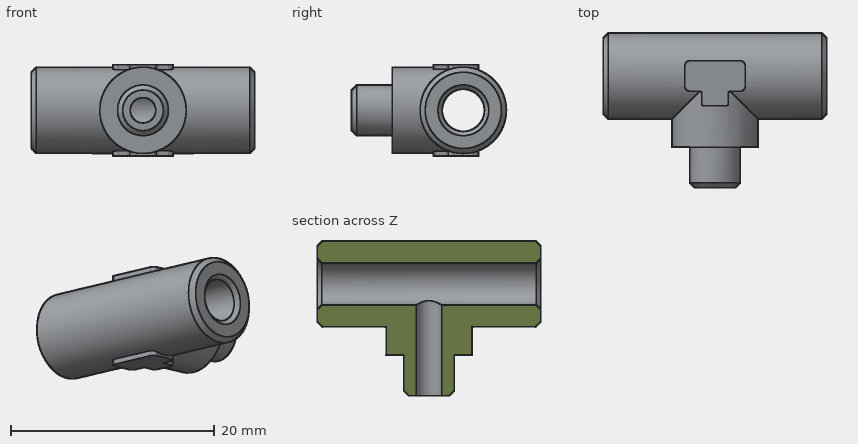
import cadquery as cq

run_length = 22.0
body_diameter = 8.5
run_bore_diameter = 4.13
thread_diameter = 5.0
end_chamfer = 0.5

branch_reach = 7.0
spigot_reach = 11.0
spigot_diameter = 5.0
spigot_bore_diameter = 2.5

pad_span = 9.0
pad_bar_width = 5.95
pad_bar_depth = 3.0
pad_stem_width = 2.6
pad_stem_reach = 2.95
pad_outer_radius = 0.5
pad_small_radius = 0.2


def cylinder_along_x(diameter):
    """Cylinder on the X axis over the full run length."""
    start = (-run_length / 2, 0, 0)
    return cq.Workplane("YZ", origin=start).circle(diameter / 2).extrude(run_length)


def cylinder_toward_front(diameter, reach):
    """Cylinder from the run axis toward -Y."""
    return cq.Workplane("XZ").circle(diameter / 2).extrude(reach)


def make_run():
    return cylinder_along_x(body_diameter).faces("<X or >X").chamfer(end_chamfer)


def make_spigot():
    return cylinder_toward_front(spigot_diameter, spigot_reach).faces("<Y").chamfer(end_chamfer)


def make_pads():
    """T-shaped prism through the body; only its two ends stand proud."""
    bar = cq.Workplane("XY").box(pad_bar_width, pad_bar_depth, pad_span)
    stem = (
        cq.Workplane("XY")
        .center(0, -pad_stem_reach / 2)
        .box(pad_stem_width, pad_stem_reach, pad_span)
    )
    tee = bar.union(stem)
    tee = tee.edges("|Z and (not (<X or >X))").fillet(pad_small_radius)
    return tee.edges("|Z and (<X or >X)").fillet(pad_outer_radius)


def make_run_bore():
    """Through bore with a countersink at each end, out to the thread diameter."""
    bore = cylinder_along_x(run_bore_diameter)
    sink_depth = (thread_diameter - run_bore_diameter) / 2
    for end in (-1, 1):
        sink = (
            cq.Workplane("YZ", origin=(end * run_length / 2, 0, 0))
            .circle(thread_diameter / 2)
            .workplane(offset=-end * sink_depth)
            .circle(run_bore_diameter / 2)
            .loft()
        )
        bore = bore.union(sink)
    return bore


branch = cylinder_toward_front(body_diameter, branch_reach)
spigot_bore = cylinder_toward_front(spigot_bore_diameter, spigot_reach)

body = make_run().union(branch).union(make_spigot()).union(make_pads())
result = body.cut(make_run_bore()).cut(spigot_bore)